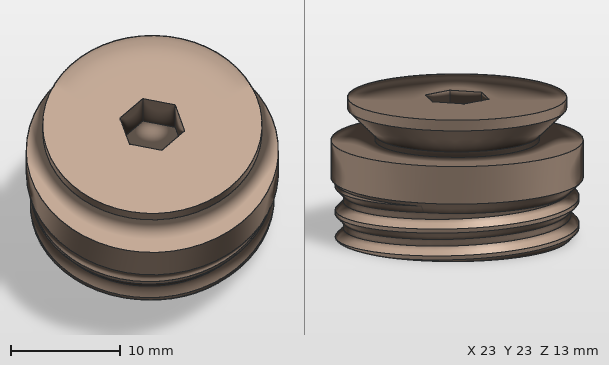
import cadquery as cq
import math

total_height = 13.0
cap_rim_height = 1.0
collar_top_z = 9.0
collar_rim_bottom_z = 5.5

cap_radius = 20.0 / 2
neck_radius = 15.0 / 2
collar_radius = 23.0 / 2
core_radius = 20.75 / 2
thread_radius = 22.25 / 2

hex_across_flats = 5.25
hex_depth = 3.5

thread_pitch = 2.5
crest_width = 0.375
root_overlap = 0.1
thread_start_z = -1.15
thread_turns = 3.0

cap_cone_top_z = total_height - cap_rim_height
cap_cone_bottom_z = cap_cone_top_z - (cap_radius - neck_radius)
collar_cone_bottom_z = collar_rim_bottom_z - (collar_radius - core_radius)


def make_body():
    """Turned body: threaded core, collar, neck and countersunk cap."""
    half_profile = [
        (0, 0),
        (core_radius, 0),
        (core_radius, collar_cone_bottom_z),
        (collar_radius, collar_rim_bottom_z),
        (collar_radius, collar_top_z),
        (neck_radius, collar_top_z),
        (neck_radius, cap_cone_bottom_z),
        (cap_radius, cap_cone_top_z),
        (cap_radius, total_height),
        (0, total_height),
    ]
    return cq.Workplane("XZ").polyline(half_profile).close().revolve(360, (0, 0), (0, 1))


def make_thread():
    """Helical ridge of trapezoidal section, trimmed flush with the end face."""
    inner_radius = core_radius - root_overlap
    crest_half = crest_width / 2
    base_half = crest_half + thread_radius - inner_radius
    section = [
        (inner_radius, thread_start_z - base_half),
        (thread_radius, thread_start_z - crest_half),
        (thread_radius, thread_start_z + crest_half),
        (inner_radius, thread_start_z + base_half),
    ]
    helix = cq.Wire.makeHelix(
        thread_pitch, thread_pitch * thread_turns, inner_radius, center=cq.Vector(0, 0, thread_start_z)
    )
    ridge = cq.Workplane("XZ").polyline(section).close().sweep(cq.Workplane(helix), isFrenet=True)
    trim_depth = 2 * thread_pitch
    below_end_face = cq.Workplane("XY").circle(collar_radius).extrude(-trim_depth)
    return ridge.cut(below_end_face)


def make_hex_socket():
    """Hexagonal key socket sunk into the cap."""
    across_corners = hex_across_flats / math.cos(math.pi / 6)
    return (
        cq.Workplane("XY")
        .workplane(offset=total_height)
        .polygon(6, across_corners)
        .extrude(-hex_depth)
    )


result = make_body().union(make_thread()).cut(make_hex_socket())